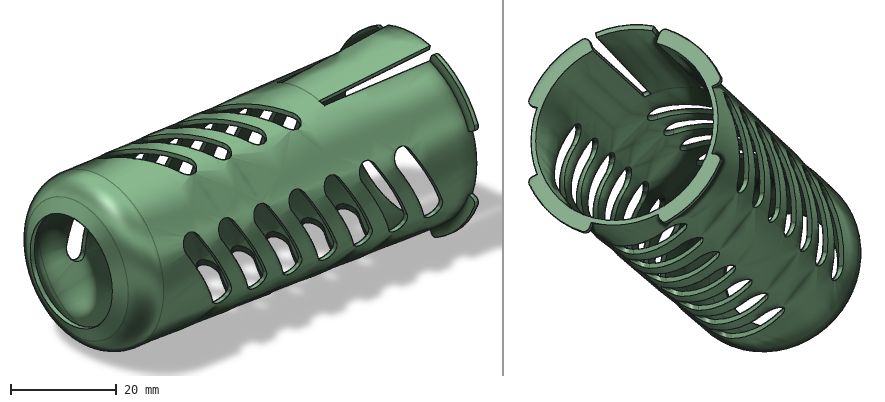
import cadquery as cq
import math

length = 87.0
wall = 1.0
open_radius = 18.9
nose_radius = 18.0
hole_radius = 11.5
nose_fillet = 6.4
face_tilt = math.radians(26.0)
cone_radius = nose_radius - nose_fillet * (1 - math.sin(face_tilt))
cone_depth = (cone_radius - hole_radius) * math.tan(face_tilt)
nose_start = cone_depth + nose_fillet * math.cos(face_tilt)

flap_root = 59.1
flap_half_angle = 16.2
slit_half_angle = 20.8
tip_radius = 21.05

lug_thickness = 1.0
lug_corner = 1.1

slot_width = 4.5
slot_span = 15.0
slot_slant = 30.0
slot_pitch = 9.0
first_slot = 19.5
side_slots = 7
top_slots = 4

clearance = 4.35
quarter_turn = 90.0


def taper_radius(y):
    """Outer radius of the tapered body at a given y."""
    return nose_radius + (open_radius - nose_radius) * (y - nose_start) / (length - nose_start)


def about_axis(shape, angle):
    """Turn a shape about the Y axis; a positive angle carries +Z toward +X."""
    return shape.rotate((0, 0, 0), (0, 1, 0), angle)


def sector(points, half_angle):
    """Revolve a closed (radius, y) outline through a sector centred on +Z."""
    blank = cq.Workplane("XY").polyline(points).close()
    swept = blank.revolve(2 * half_angle, (0, 0, 0), (0, 1, 0))
    return about_axis(swept, -quarter_turn - half_angle)


def body_solid(inset):
    """Solid of revolution bounded by the body's outer surface moved inward by inset."""
    radius = nose_fillet - inset
    centre = nose_radius - nose_fillet
    cone_angle = math.pi / 2 - face_tilt

    def arc_point(angle):
        return (centre + radius * math.cos(angle), nose_start - radius * math.sin(angle))

    tangent = arc_point(cone_angle)
    rim_y = tangent[1] - (tangent[0] - hole_radius) * math.tan(face_tilt)
    return (
        cq.Workplane("XY")
        .moveTo(0, rim_y)
        .lineTo(hole_radius, rim_y)
        .lineTo(*tangent)
        .threePointArc(arc_point(cone_angle / 2), arc_point(0))
        .lineTo(open_radius - inset, length)
        .lineTo(0, length)
        .close()
        .revolve(360, (0, 0, 0), (0, 1, 0))
    )


def make_shell():
    hole = cq.Workplane("XZ").circle(hole_radius).extrude(-length)
    return body_solid(0).cut(body_solid(wall)).cut(hole)


def make_flap():
    root_radius = taper_radius(flap_root)
    outline = [
        (root_radius - wall, flap_root),
        (root_radius, flap_root),
        (tip_radius, length),
        (tip_radius - wall, length),
    ]
    return sector(outline, flap_half_angle)


def make_flap_opening():
    outline = [
        (hole_radius, flap_root),
        (tip_radius + clearance, flap_root),
        (tip_radius + clearance, length + clearance),
        (hole_radius, length + clearance),
    ]
    return sector(outline, slit_half_angle)


def make_lug():
    inner = open_radius - wall
    outline = [
        (inner, length - lug_thickness),
        (tip_radius, length - lug_thickness),
        (tip_radius, length),
        (inner, length),
    ]
    lug = sector(outline, quarter_turn / 2 - slit_half_angle)
    return lug.edges("|Y").edges(">Z").fillet(lug_corner)


def make_slots(count):
    """Row of slot cutters through the top wall, counted from the nose."""
    centres = [(0, first_slot + i * slot_pitch) for i in range(count)]
    return (
        cq.Workplane("XY")
        .pushPoints(centres)
        .slot2D(slot_span + slot_width, slot_width, slot_slant)
        .extrude(open_radius + clearance)
    )


result = make_shell().cut(make_flap_opening()).union(make_flap())
for quadrant in range(4):
    slot_count = top_slots if quadrant == 0 else side_slots
    result = result.cut(about_axis(make_slots(slot_count), quadrant * quarter_turn))
    result = result.union(about_axis(make_lug(), (quadrant + 0.5) * quarter_turn))